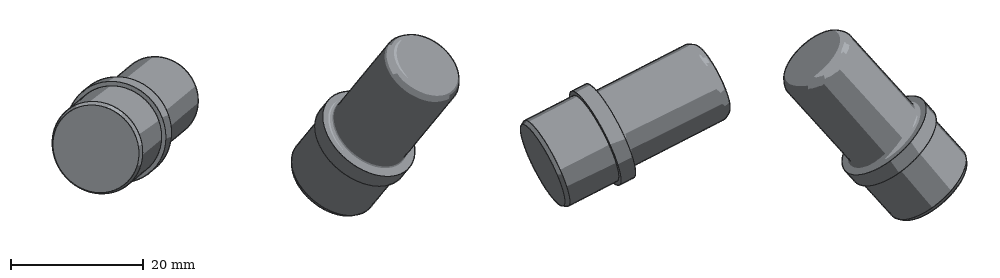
import cadquery as cq
import math

total_length = 29.4
y_front = -total_length / 2
y_back = total_length / 2
plug_length = 9.08
flange_thickness = 2.53
y_flange_front = y_front + plug_length
y_flange_back = y_flange_front + flange_thickness

plug_radius = 14.5 / 2
flange_radius = 15.88 / 2
shank_radius = 12.7 / 2

taper_angle = math.radians(30)
plug_chamfer_length = 0.65
plug_chamfer_depth = plug_chamfer_length * math.tan(taper_angle)
neck_fillet = 0.62

nose_length = 1.53
nose_blend = 1.0
blend_back_length = nose_blend * (1 - math.sin(taper_angle))
blend_front_length = nose_blend * math.sin(taper_angle)
y_nose_start = y_back - nose_length
y_cone_start = y_nose_start + blend_front_length
y_cone_end = y_back - blend_back_length
cone_start_radius = shank_radius - nose_blend * (1 - math.cos(taper_angle))
cone_end_radius = cone_start_radius - (y_cone_end - y_cone_start) * math.tan(taper_angle)
end_face_radius = cone_end_radius - nose_blend * math.cos(taper_angle)

profile = (
    cq.Workplane("XY")
    .moveTo(0, y_front)
    .lineTo(plug_radius - plug_chamfer_depth, y_front)
    .lineTo(plug_radius, y_front + plug_chamfer_length)
    .lineTo(plug_radius, y_flange_front)
    .lineTo(flange_radius, y_flange_front)
    .lineTo(flange_radius, y_flange_back)
    .lineTo(shank_radius + neck_fillet, y_flange_back)
    .radiusArc((shank_radius, y_flange_back + neck_fillet), neck_fillet)
    .lineTo(shank_radius, y_nose_start)
    .radiusArc((cone_start_radius, y_cone_start), -nose_blend)
    .lineTo(cone_end_radius, y_cone_end)
    .radiusArc((end_face_radius, y_back), -nose_blend)
    .lineTo(0, y_back)
    .close()
)

result = profile.revolve(360, (0, 0, 0), (0, 1, 0))